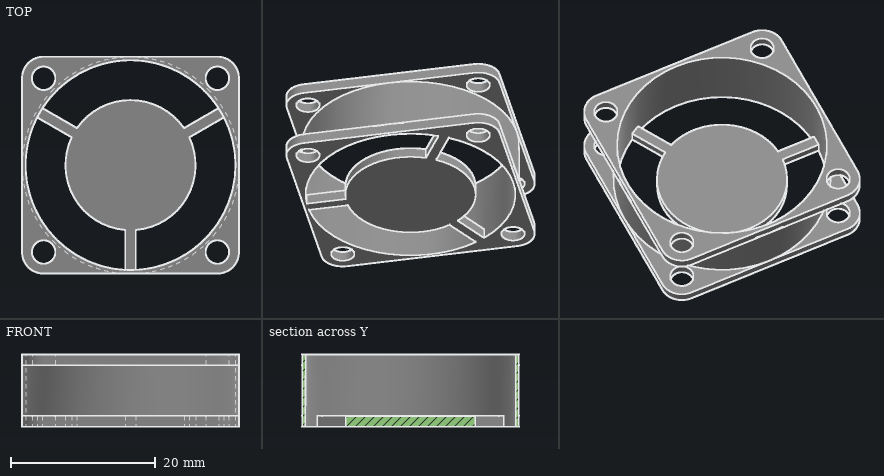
import cadquery as cq

side = 30.0
height = 10.0
flange_thickness = 1.5
corner_radius = 3.0

duct_diameter = side
bore_diameter = 28.98

hole_diameter = 3.2
hole_spacing = side - 2 * corner_radius

hub_diameter = 18.0
support_thickness = flange_thickness
spoke_width = 1.5
spoke_angles = (30, 150, 270)


def flange(bottom):
    """Square plate with rounded corners and four mounting holes."""
    return (
        cq.Workplane("XY", origin=(0, 0, bottom))
        .rect(side, side)
        .extrude(flange_thickness)
        .edges("|Z")
        .fillet(corner_radius)
        .faces(">Z")
        .workplane()
        .rect(hole_spacing, hole_spacing, forConstruction=True)
        .vertices()
        .hole(hole_diameter)
    )


def disc(diameter, thickness):
    return cq.Workplane("XY").circle(diameter / 2).extrude(thickness)


def spoke(angle):
    """Radial bar from the hub axis into the duct wall."""
    length = (bore_diameter + duct_diameter) / 4
    return (
        cq.Workplane("XY")
        .center(length / 2, 0)
        .rect(length, spoke_width)
        .extrude(support_thickness)
        .rotate((0, 0, 0), (0, 0, 1), angle)
    )


frame = flange(0).union(flange(height - flange_thickness))
frame = frame.union(disc(duct_diameter, height))
frame = frame.cut(disc(bore_diameter, height))

support = disc(hub_diameter, support_thickness)
for spoke_angle in spoke_angles:
    support = support.union(spoke(spoke_angle))

result = frame.union(support)